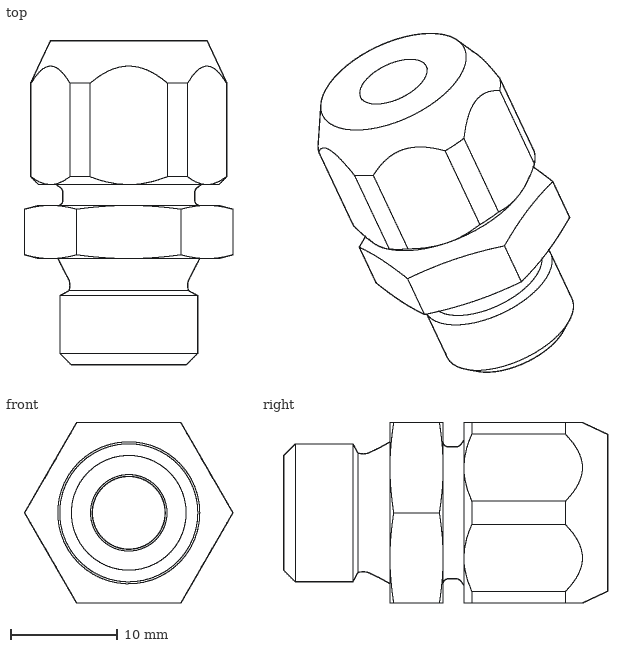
import cadquery as cq
import math

total_length = 30.5
across_flats = 17.0
flat_radius = across_flats / 2
corner_radius = flat_radius / math.cos(math.radians(30))

bore_radius = 3.42
bore_chamfer = 0.18

spigot_radius = 6.5
spigot_length = 6.53
spigot_chamfer = 1.1
undercut_start = 6.98
undercut_end = 8.0
undercut_edge_radius = 5.65
undercut_floor_radius = 5.55
cone_radius = 6.68

hex_start = 10.0
hex_thickness = 5.0
hex_end = hex_start + hex_thickness
hex_chamfer_angle = 15.0

neck_radius = 6.22
hex_fillet = 0.45
flare_length = 0.27
flare_angle = 55.0
flare_fillet = 0.55

nut_start = 16.95
nut_radius = 9.25
nut_cone_length = 4.0
nut_cone_angle = 25.0


def revolve_about_y(profile):
    return profile.close().revolve(360, (0, 0, 0), (0, 1, 0))


def hex_prism(start, length):
    """Hexagonal prism along +Y with two corners on the X axis."""
    plane = cq.Workplane("XZ", origin=(0, start, 0))
    return plane.polygon(6, 2 * corner_radius).extrude(-length)


def make_spigot():
    undercut_middle = (undercut_start + undercut_end) / 2
    return revolve_about_y(
        cq.Workplane("XY")
        .lineTo(spigot_radius - spigot_chamfer, 0)
        .lineTo(spigot_radius, spigot_chamfer)
        .lineTo(spigot_radius, spigot_length)
        .lineTo(undercut_edge_radius, undercut_start)
        .threePointArc((undercut_floor_radius, undercut_middle), (undercut_edge_radius, undercut_end))
        .lineTo(cone_radius, hex_start)
        .lineTo(0, hex_start)
    )


def make_body_hex():
    chamfer_drop = (corner_radius - flat_radius) * math.tan(math.radians(hex_chamfer_angle))
    envelope = revolve_about_y(
        cq.Workplane("XY", origin=(0, hex_start, 0))
        .lineTo(flat_radius, 0)
        .lineTo(corner_radius, chamfer_drop)
        .lineTo(corner_radius, hex_thickness - chamfer_drop)
        .lineTo(flat_radius, hex_thickness)
        .lineTo(0, hex_thickness)
    )
    return hex_prism(hex_start, hex_thickness).intersect(envelope)


def make_neck():
    """Neck with a concave fillet at each end and a conical flare into the nut."""
    angle = math.radians(flare_angle)
    flare_start = nut_start - flare_length
    straight_end = flare_start - flare_fillet * math.sin(angle)
    flare_start_radius = neck_radius + flare_fillet * (1 - math.cos(angle))
    flare_end_radius = flare_start_radius + flare_length * math.tan(angle)
    return revolve_about_y(
        cq.Workplane("XY")
        .moveTo(0, hex_end)
        .lineTo(neck_radius + hex_fillet, hex_end)
        .radiusArc((neck_radius, hex_end + hex_fillet), hex_fillet)
        .lineTo(neck_radius, straight_end)
        .radiusArc((flare_start_radius, flare_start), flare_fillet)
        .lineTo(flare_end_radius, nut_start)
        .lineTo(0, nut_start)
    )


def make_nut():
    edge_chamfer = nut_radius - flat_radius
    end_radius = nut_radius - nut_cone_length * math.tan(math.radians(nut_cone_angle))
    envelope = revolve_about_y(
        cq.Workplane("XY")
        .moveTo(0, nut_start)
        .lineTo(flat_radius, nut_start)
        .lineTo(nut_radius, nut_start + edge_chamfer)
        .lineTo(nut_radius, total_length - nut_cone_length)
        .lineTo(end_radius, total_length)
        .lineTo(0, total_length)
    )
    return hex_prism(nut_start, total_length - nut_start).intersect(envelope)


def make_bore():
    return revolve_about_y(
        cq.Workplane("XY")
        .lineTo(bore_radius + bore_chamfer, 0)
        .lineTo(bore_radius, bore_chamfer)
        .lineTo(bore_radius, total_length)
        .lineTo(0, total_length)
    )


result = make_spigot().union(make_body_hex()).union(make_neck()).union(make_nut()).cut(make_bore())